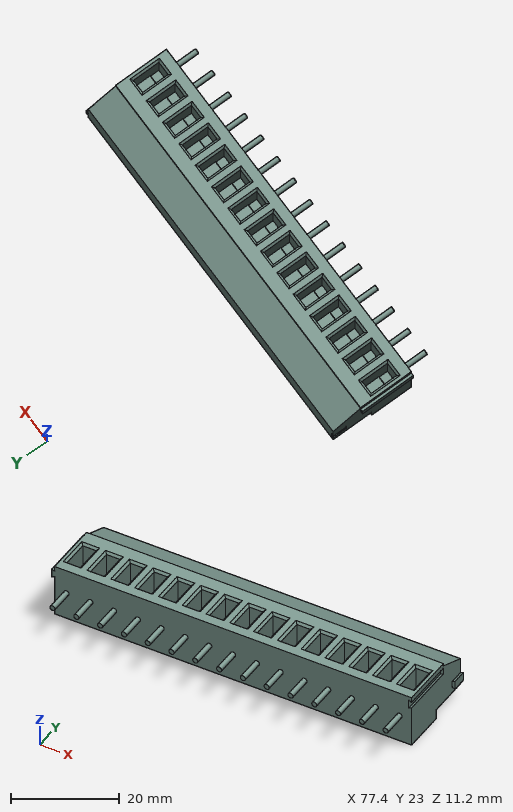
import cadquery as cq

pole_count = 15
pin_diameter = 1.1
pin_length = 5.1
pin_height = 6.0

overall_length = 77.4
housing_length = 76.2
pole_pitch = housing_length / pole_count
housing_depth = 17.9
housing_height = 11.2
foot_depth = 9.05
foot_height = 2.1
top_depth = 11.6
slope_low_height = 8.05
slope_high_height = 10.7

pocket_width = 3.8
pocket_length = 6.7
pocket_front = 2.1
pocket_depth = 6.2
ledge_height = 0.5
ledge_front = 4.5
funnel_width = 0.5
funnel_depth = 0.5

flare = 0.27
top_rail_root = 1.3
top_rail_middle = 9.45
top_rail_reach = 0.6
rear_rail_root = 1.3
rear_rail_middle = 4.1
rear_rail_length = 3.1
rear_groove_mouth = 1.0
rear_groove_depth = 0.55
rear_rail_reach = overall_length - housing_length - top_rail_reach


def pole_positions():
    return [(pole + 0.5) * pole_pitch for pole in range(pole_count)]


def make_housing():
    outline = [
        (0, 0),
        (foot_depth, 0),
        (foot_depth, foot_height),
        (housing_depth, foot_height),
        (housing_depth, slope_low_height),
        (top_depth, slope_high_height),
        (top_depth, housing_height),
        (0, housing_height),
    ]
    return cq.Workplane("YZ").polyline(outline).close().extrude(housing_length)


def make_pocket(x):
    """Pocket with a tapered rim and a floor on two levels."""
    well_width = pocket_width - 2 * funnel_width
    well_length = pocket_length - 2 * funnel_width
    well_front = pocket_front + funnel_width
    rim = cq.Workplane("XY", origin=(x, pocket_front + pocket_length / 2, housing_height))
    funnel = (
        rim.rect(pocket_width, pocket_length)
        .workplane(offset=-funnel_depth)
        .rect(well_width, well_length)
        .loft()
    )
    well = rim.rect(well_width, well_length).extrude(-pocket_depth)
    ledge = cq.Workplane("XY").box(
        well_width,
        well_front + well_length - ledge_front,
        ledge_height,
        centered=(True, False, False),
    ).translate((x, ledge_front, housing_height - pocket_depth))
    return funnel.union(well.cut(ledge))


def make_pin(x):
    embedded_length = pocket_front / 2
    return (
        cq.Workplane("XZ", origin=(x, embedded_length, pin_height))
        .circle(pin_diameter / 2)
        .extrude(embedded_length + pin_length)
    )


def make_dovetail(root_x, tip_x, middle_height, root_width, start_y, length):
    """Dovetail bar along Y, widening from root_x to tip_x."""
    root_half = root_width / 2
    tip_half = root_half + flare
    outline = [
        (root_x, middle_height - root_half),
        (tip_x, middle_height - tip_half),
        (tip_x, middle_height + tip_half),
        (root_x, middle_height + root_half),
    ]
    return cq.Workplane("XZ", origin=(0, start_y, 0)).polyline(outline).close().extrude(-length)


def make_top_rail(root_x):
    return make_dovetail(root_x, root_x - top_rail_reach, top_rail_middle, top_rail_root, 0, top_depth)


def make_rear_rail(root_x, tip_x, root_width):
    start_y = housing_depth - rear_rail_length
    return make_dovetail(root_x, tip_x, rear_rail_middle, root_width, start_y, rear_rail_length)


result = make_housing()

result = result.union(make_top_rail(0)).cut(make_top_rail(housing_length))
rear_tongue = make_rear_rail(housing_length, housing_length + rear_rail_reach, rear_rail_root)
rear_groove = make_rear_rail(0, rear_groove_depth, rear_groove_mouth)
result = result.union(rear_tongue).cut(rear_groove)

for pole_x in pole_positions():
    result = result.cut(make_pocket(pole_x)).union(make_pin(pole_x))